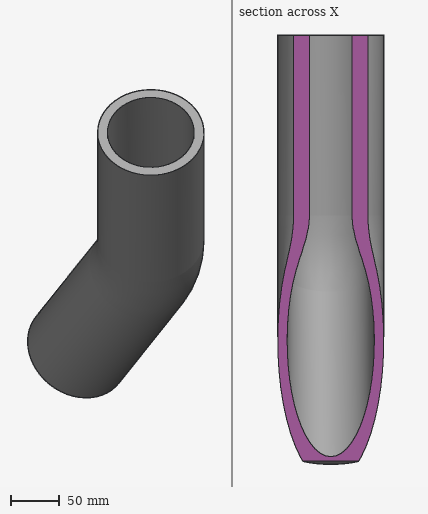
import cadquery as cq
import math

overall_height = 442.5
outer_radius = 55.0
wall = 10.0
bend_angle = 22.0
bend_radius = 165.0
lower_length = 187.5

inner_radius = outer_radius - wall
sine = math.sin(math.radians(bend_angle))
cosine = math.cos(math.radians(bend_angle))

upper_length = overall_height - bend_radius * sine - lower_length * cosine - outer_radius * sine


def bend_point(angle):
    """Centreline point at an angle around the bend, with the bend starting at the origin."""
    turn = math.radians(angle)
    return (-bend_radius * (1 - math.cos(turn)), -bend_radius * math.sin(turn))


bend_end = bend_point(bend_angle)
lower_end = (bend_end[0] - lower_length * sine, bend_end[1] - lower_length * cosine)
centreline = (
    cq.Workplane("XZ")
    .moveTo(0, upper_length)
    .lineTo(0, 0)
    .threePointArc(bend_point(bend_angle / 2), bend_end)
    .lineTo(*lower_end)
)

result = (
    cq.Workplane("XY", origin=(0, 0, upper_length))
    .circle(outer_radius)
    .circle(inner_radius)
    .sweep(centreline)
)